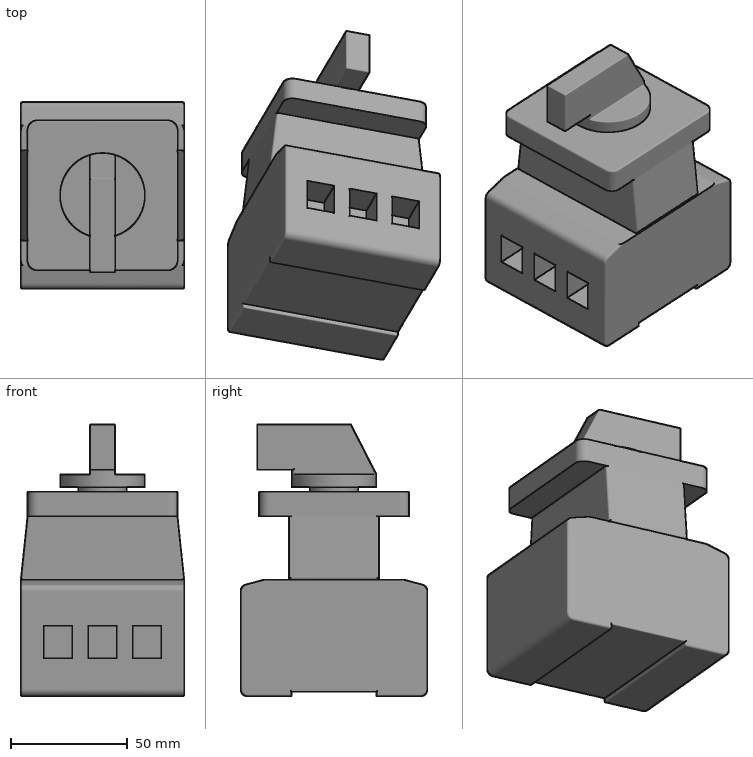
import cadquery as cq
import math

BASE_WIDTH = 70.0
BASE_DEPTH = 80.0
BASE_HEIGHT = 50.0
ROOF_FLAT_DEPTH = 60.1
ROOF_ANGLE = 15.0
BASE_CORNER_RADIUS = 3.0
END_EDGE_RADIUS = 0.9
RAIL_SLOT_WIDTH = 36.3
RAIL_SLOT_DEPTH = 2.0
RAIL_SLOT_EDGE_RADIUS = 0.5

WINDOW_COUNT = 3
WINDOW_WIDTH = 12.1
WINDOW_HEIGHT = 14.0
WINDOW_PITCH = 19.1
WINDOW_BOTTOM = 16.3
WINDOW_DEPTH = 14.0

PLATE_SIZE = 64.3
PLATE_BOTTOM = 77.1
PLATE_TOP = 87.7
PLATE_CORNER_RADIUS = 4.3
PLATE_TOP_RADIUS = 0.7
NECK_DEPTH = 38.7
NECK_TOP_WIDTH = PLATE_SIZE

COLLAR_DIAMETER = 21.0
DISC_DIAMETER = 36.3
DISC_BOTTOM = 89.6
DISC_TOP = 95.1
LEVER_WIDTH = 10.7
LEVER_TOP = 116.5
LEVER_UNDERSIDE = 97.0
LEVER_FRONT = 33.0
LEVER_TOP_BACK = 7.2
KNOB_EDGE_RADIUS = 0.5

SELECTION_MARGIN = 0.1


def make_base():
    """Gabled block with rounded end faces, trimmed flat on top."""
    half_depth = BASE_DEPTH / 2
    half_flat = ROOF_FLAT_DEPTH / 2
    slope = math.tan(math.radians(ROOF_ANGLE))
    eave = BASE_HEIGHT - (half_depth - half_flat) * slope
    ridge = BASE_HEIGHT + half_flat * slope

    gable = (
        cq.Workplane("YZ")
        .moveTo(-half_depth, 0)
        .lineTo(half_depth, 0)
        .lineTo(half_depth, eave)
        .lineTo(0, ridge)
        .lineTo(-half_depth, eave)
        .close()
        .extrude(BASE_WIDTH / 2, both=True)
    )
    rounded = gable.faces("<Y or >Y").edges("|X").fillet(BASE_CORNER_RADIUS)
    rounded = rounded.faces("<X or >X").edges().fillet(END_EDGE_RADIUS)

    ridge_cutter = (
        cq.Workplane("XY", origin=(0, 0, BASE_HEIGHT))
        .rect(2 * BASE_WIDTH, 2 * BASE_DEPTH)
        .extrude(BASE_HEIGHT)
    )
    return rounded.cut(ridge_cutter)


def cut_rail_slot(base):
    """Shallow slot along X in the underside, with its two end outlines rounded."""
    slot = cq.Workplane("XY").rect(2 * BASE_WIDTH, RAIL_SLOT_WIDTH).extrude(RAIL_SLOT_DEPTH)
    slot_outline = cq.selectors.BoxSelector(
        (-BASE_WIDTH, -RAIL_SLOT_WIDTH, END_EDGE_RADIUS + SELECTION_MARGIN),
        (BASE_WIDTH, RAIL_SLOT_WIDTH, 2 * RAIL_SLOT_DEPTH),
    )
    return base.cut(slot).faces("<X or >X").edges(slot_outline).fillet(RAIL_SLOT_EDGE_RADIUS)


def make_windows():
    """Blind rectangular pockets entering the -Y face."""
    return (
        cq.Workplane("XZ", origin=(0, -BASE_DEPTH / 2, WINDOW_BOTTOM + WINDOW_HEIGHT / 2))
        .rarray(WINDOW_PITCH, 1.2, WINDOW_COUNT, 1)
        .rect(WINDOW_WIDTH, WINDOW_HEIGHT)
        .extrude(-WINDOW_DEPTH)
    )


def make_neck():
    """Tapered neck; its side faces are rounded on their upright and bottom edges."""
    bottom = BASE_WIDTH / 2
    top = NECK_TOP_WIDTH / 2
    neck = (
        cq.Workplane("XZ")
        .polyline([(-bottom, BASE_HEIGHT), (bottom, BASE_HEIGHT), (top, PLATE_BOTTOM), (-top, PLATE_BOTTOM)])
        .close()
        .extrude(NECK_DEPTH / 2, both=True)
    )
    side_edges = neck.faces("<X or >X").edges("not >Z")
    return side_edges.fillet(END_EDGE_RADIUS)


def make_plate():
    """Square front plate with rounded corners and a softened top edge."""
    plate = (
        cq.Workplane("XY", origin=(0, 0, PLATE_BOTTOM))
        .rect(PLATE_SIZE, PLATE_SIZE)
        .extrude(PLATE_TOP - PLATE_BOTTOM)
        .edges("|Z")
        .fillet(PLATE_CORNER_RADIUS)
    )
    return plate.faces(">Z").edges().fillet(PLATE_TOP_RADIUS)


def make_housing():
    """Base, neck and front plate as one solid."""
    return cut_rail_slot(make_base()).cut(make_windows()).union(make_neck()).union(make_plate())


def make_lever():
    """Lever with a slanted back, overhanging the disc on the -Y side."""
    radius = DISC_DIAMETER / 2
    return (
        cq.Workplane("YZ")
        .moveTo(radius, DISC_TOP)
        .lineTo(LEVER_TOP_BACK, LEVER_TOP)
        .lineTo(-LEVER_FRONT, LEVER_TOP)
        .lineTo(-LEVER_FRONT, LEVER_UNDERSIDE)
        .lineTo(-radius, LEVER_UNDERSIDE)
        .lineTo(-radius, DISC_TOP)
        .close()
        .extrude(LEVER_WIDTH / 2, both=True)
    )


def make_knob():
    """Collar standing on the plate, carrying the disc and the lever."""
    collar = (
        cq.Workplane("XY", origin=(0, 0, PLATE_TOP))
        .circle(COLLAR_DIAMETER / 2)
        .extrude(DISC_BOTTOM - PLATE_TOP)
    )
    disc = (
        cq.Workplane("XY", origin=(0, 0, DISC_BOTTOM))
        .circle(DISC_DIAMETER / 2)
        .extrude(DISC_TOP - DISC_BOTTOM)
    )
    overhang_cutter = (
        cq.Workplane("XY", origin=(0, 0, DISC_BOTTOM))
        .rect(2 * LEVER_FRONT, 2 * LEVER_FRONT)
        .circle(DISC_DIAMETER / 2)
        .extrude(LEVER_UNDERSIDE - DISC_BOTTOM)
    )
    knob = collar.union(disc).union(make_lever().cut(overhang_cutter))

    lever_edges = knob.faces("|X or <Y or >Z").edges()
    disc_top_edges = knob.faces("|Z").faces(">Z[-3]").edges()
    return lever_edges.add(disc_top_edges).fillet(KNOB_EDGE_RADIUS)


housing = make_housing()
knob = make_knob()

result = cq.Compound.makeCompound([housing.val(), knob.val()])